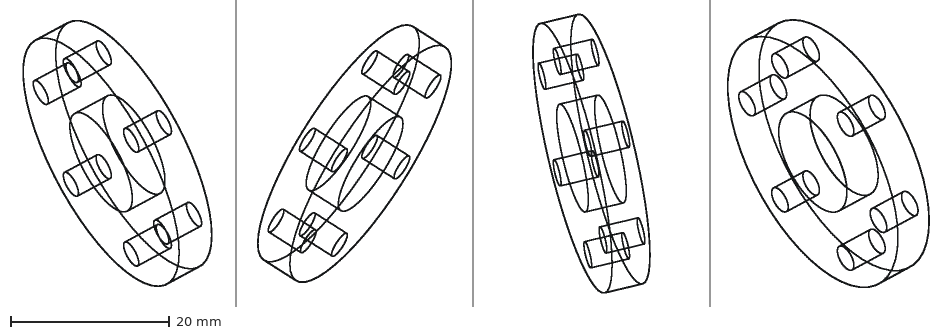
import cadquery as cq

OUTER_DIAMETER = 35.0
THICKNESS = 5.0
BORE_DIAMETER = 14.0
BOLT_HOLE_DIAMETER = 3.4
BOLT_CIRCLE_DIAMETER = 27.0
BOLT_HOLE_COUNT = 6


def make_disc():
    """Flat round disc with its axis along Y, centred on the origin."""
    back_plane = cq.Workplane("XZ", origin=(0, THICKNESS / 2, 0))
    return back_plane.circle(OUTER_DIAMETER / 2).extrude(THICKNESS)


def cut_bore(body):
    """Central bore through the full thickness."""
    return body.faces("<Y").workplane(origin=(0, 0, 0)).hole(BORE_DIAMETER)


def cut_bolt_holes(body):
    """Through holes evenly spaced on the bolt circle, the first one on the +X axis."""
    return (
        body.faces("<Y")
        .workplane(origin=(0, 0, 0))
        .polarArray(BOLT_CIRCLE_DIAMETER / 2, 0, 360, BOLT_HOLE_COUNT)
        .hole(BOLT_HOLE_DIAMETER)
    )


disc = make_disc()
bored_disc = cut_bore(disc)
result = cut_bolt_holes(bored_disc)